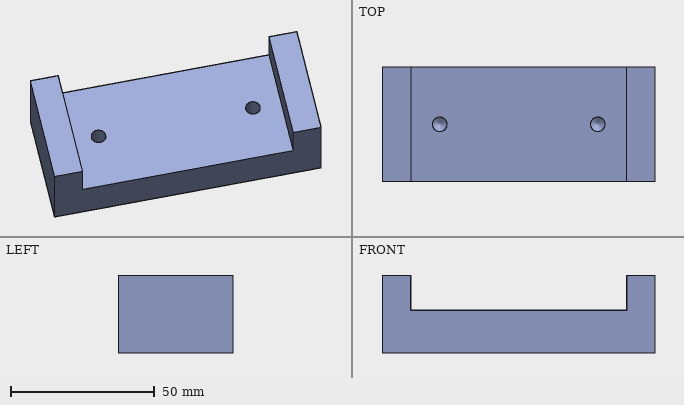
import cadquery as cq
import math

length = 95.0
width = 40.0
height = 27.1

wall_thickness = 10.0
floor_thickness = 15.0

hole_diameter = 5.0
hole_spacing = 55.0
hole_depth = 10.0
drill_point_angle = 118.0


def channel_block():
    """Block with an open channel running across its full width."""
    block = cq.Workplane("XY").box(length, width, height, centered=(True, True, False))
    channel = (
        cq.Workplane("XY")
        .workplane(offset=floor_thickness)
        .rect(length - 2 * wall_thickness, width)
        .extrude(height - floor_thickness)
    )
    return block.cut(channel)


def drilled_hole(x):
    """Blind hole with a conical drill point, cut down from the channel floor."""
    radius = hole_diameter / 2
    point_depth = radius / math.tan(math.radians(drill_point_angle / 2))
    shoulder_z = floor_thickness - hole_depth
    return (
        cq.Workplane("XZ")
        .moveTo(0, floor_thickness)
        .lineTo(radius, floor_thickness)
        .lineTo(radius, shoulder_z)
        .lineTo(0, shoulder_z - point_depth)
        .close()
        .revolve(360, (0, 0), (0, 1))
        .translate((x, 0, 0))
    )


result = channel_block()
for side in (-1, 1):
    result = result.cut(drilled_hole(side * hole_spacing / 2))